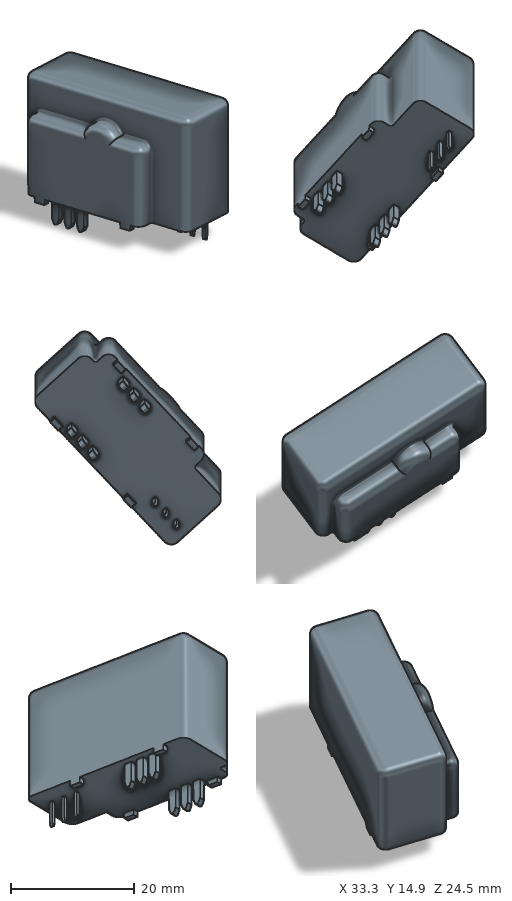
import cadquery as cq

BLOCK_LENGTH = 33.3
BLOCK_DEPTH = 11.9
BLOCK_HEIGHT = 20.0
EDGE_RADIUS = 1.5
BASE_RADIUS = 0.5
SEAM_MARGIN = 0.03

BOX_LENGTH = 23.5
BOX_HEIGHT = 13.95
BOX_DEPTH = 3.03
BOX_CENTER_X = -2.45
HUMP_RADIUS = 3.55
HUMP_CENTER_X = 0.45
HUMP_CENTER_Z = 12.2

FOOT_TOP_LENGTH = 2.13
FOOT_BOTTOM_LENGTH = 1.93
FOOT_HEIGHT = 0.95
FOOT_DEPTH = 1.0
FOOT_SPACING = 17.4

PIN_PITCH = 2.54
PINS_PER_ROW = 3

POWER_PIN_WIDTH = 1.4
POWER_PIN_THICKNESS = 1.05
POWER_PIN_LENGTH = 4.45
POWER_PIN_SHOULDER = 3.5
POWER_PIN_TIP_WIDTH = 0.63
POWER_PIN_TIP_HEIGHT = 0.15
POWER_ROW_CENTER_X = -6.33
POWER_ROW_SPACING = 11.42
BACK_POWER_ROW_INSET = 1.8

SIGNAL_PIN_WIDTH = 0.65
SIGNAL_PIN_THICKNESS = 0.53
SIGNAL_PIN_LENGTH = 4.53
SIGNAL_PIN_SHOULDER = 3.83
SIGNAL_PIN_TIP_WIDTH = 0.43
SIGNAL_PIN_TIP_HEIGHT = 0.15
SIGNAL_ROW_CENTER_X = 11.42
SIGNAL_ROW_INSET = 3.7

BLOCK_BACK_Y = BLOCK_DEPTH / 2
BLOCK_FRONT_Y = -BLOCK_DEPTH / 2
BOX_FRONT_Y = BLOCK_FRONT_Y - BOX_DEPTH
BACK_POWER_ROW_Y = BLOCK_BACK_Y - BACK_POWER_ROW_INSET
POWER_ROWS_Y = (BACK_POWER_ROW_Y, BACK_POWER_ROW_Y - POWER_ROW_SPACING)
SIGNAL_ROW_Y = BLOCK_BACK_Y - SIGNAL_ROW_INSET


def make_block():
    """Main block, rounded on every edge except around its underside."""
    block = cq.Workplane("XY").box(
        BLOCK_LENGTH, BLOCK_DEPTH, BLOCK_HEIGHT, centered=(True, True, False)
    )
    return block.edges("|Z or >Z").fillet(EDGE_RADIUS)


def make_front_box():
    """Raised box with a round hump on top, rounded along its sides, top and front edges."""
    front = cq.Workplane("XZ", origin=(0, BLOCK_FRONT_Y, 0))
    box = (
        front.center(BOX_CENTER_X, BOX_HEIGHT / 2)
        .rect(BOX_LENGTH, BOX_HEIGHT)
        .extrude(BOX_DEPTH)
        .edges("|Y and >Z")
        .fillet(EDGE_RADIUS)
    )
    hump = front.center(HUMP_CENTER_X, HUMP_CENTER_Z).circle(HUMP_RADIUS).extrude(BOX_DEPTH)
    return box.union(hump).faces("<Y").edges("not <Z").fillet(EDGE_RADIUS)


def make_foot(center_x, front_y):
    """Short standoff foot, narrower at the bottom."""
    return (
        cq.Workplane("XZ", origin=(center_x, front_y + FOOT_DEPTH, 0))
        .moveTo(-FOOT_TOP_LENGTH / 2, 0)
        .lineTo(FOOT_TOP_LENGTH / 2, 0)
        .lineTo(FOOT_BOTTOM_LENGTH / 2, -FOOT_HEIGHT)
        .lineTo(-FOOT_BOTTOM_LENGTH / 2, -FOOT_HEIGHT)
        .close()
        .extrude(FOOT_DEPTH)
    )


def make_housing():
    """Block, front box and the four feet as one solid."""
    housing = make_block().union(make_front_box())
    seam = cq.selectors.BoxSelector(
        (-BLOCK_LENGTH / 2, BLOCK_FRONT_Y - SEAM_MARGIN, SEAM_MARGIN),
        (BLOCK_LENGTH / 2, BLOCK_FRONT_Y + SEAM_MARGIN, HUMP_CENTER_Z + HUMP_RADIUS),
    )
    housing = housing.edges(seam).fillet(BASE_RADIUS)
    for side in (-1, 1):
        foot_x = BOX_CENTER_X + side * FOOT_SPACING / 2
        for front_y in (BOX_FRONT_Y, BLOCK_BACK_Y - FOOT_DEPTH):
            housing = housing.union(make_foot(foot_x, front_y))
    return housing


def make_pin(plane, width, thickness, length, shoulder, tip_width, tip_height):
    """Flat pin hanging from the housing, its taper ending in a round tip."""
    tip_start = tip_height - length
    return (
        cq.Workplane(plane)
        .moveTo(-width / 2, 0)
        .lineTo(-width / 2, -shoulder)
        .lineTo(-tip_width / 2, tip_start)
        .threePointArc((0, -length), (tip_width / 2, tip_start))
        .lineTo(width / 2, -shoulder)
        .lineTo(width / 2, 0)
        .close()
        .extrude(thickness / 2, both=True)
    )


def make_power_pin():
    """Wide pin, tapered along X."""
    return make_pin(
        "XZ",
        POWER_PIN_WIDTH,
        POWER_PIN_THICKNESS,
        POWER_PIN_LENGTH,
        POWER_PIN_SHOULDER,
        POWER_PIN_TIP_WIDTH,
        POWER_PIN_TIP_HEIGHT,
    )


def make_signal_pin():
    """Slim pin, tapered along Y."""
    return make_pin(
        "YZ",
        SIGNAL_PIN_WIDTH,
        SIGNAL_PIN_THICKNESS,
        SIGNAL_PIN_LENGTH,
        SIGNAL_PIN_SHOULDER,
        SIGNAL_PIN_TIP_WIDTH,
        SIGNAL_PIN_TIP_HEIGHT,
    )


def pin_row(pin, center_x, row_y):
    """Separate copies of a pin, evenly spaced along X about the middle of the row."""
    first_x = center_x - PIN_PITCH * (PINS_PER_ROW - 1) / 2
    return [pin.translate((first_x + i * PIN_PITCH, row_y, 0)) for i in range(PINS_PER_ROW)]


housing = make_housing()

power_pins = []
for power_row_y in POWER_ROWS_Y:
    power_pins += pin_row(make_power_pin(), POWER_ROW_CENTER_X, power_row_y)

signal_pins = pin_row(make_signal_pin(), SIGNAL_ROW_CENTER_X, SIGNAL_ROW_Y)

bodies = [housing, *power_pins, *signal_pins]
result = cq.Compound.makeCompound([body.val() for body in bodies])